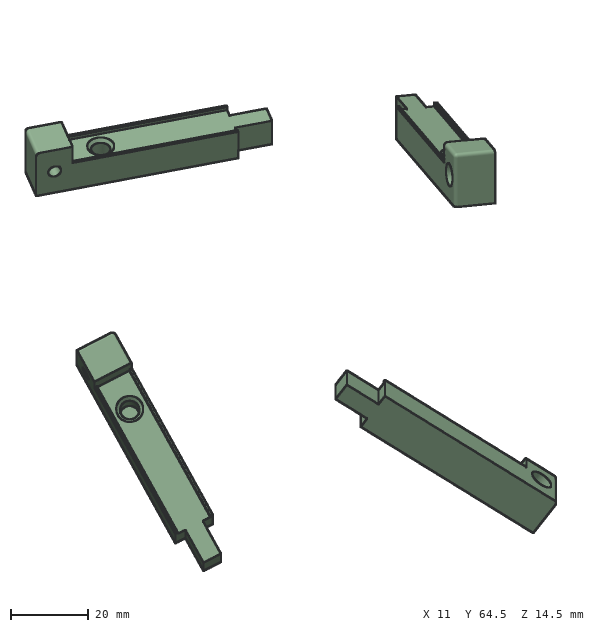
import cadquery as cq

WIDTH = 11.0
LENGTH = 64.5
HEAD_HEIGHT = 14.5

HEAD_LENGTH = 9.85
TONGUE_LENGTH = 10.0
BODY_END = LENGTH - TONGUE_LENGTH

FLOOR_HEIGHT = 8.0
RAIL_HEIGHT = 9.0
RAIL_THICKNESS = 0.75
TONGUE_WIDTH = 5.15

EDGE_RADIUS = 1.0

SCREW_DIAMETER = 3.4
COUNTERBORE_DIAMETER = 6.0
COUNTERBORE_DEPTH = WIDTH / 2
SCREW_Y = 5.0
SCREW_Z = HEAD_HEIGHT / 2

PIN_DIAMETER = 5.0
COUNTERSINK_DIAMETER = 7.0
COUNTERSINK_ANGLE = 90.0
PIN_DEPTH = 6.0
PIN_Y = 19.0


def block(width, y_start, y_end, height):
    """Box centred on X, standing on Z = 0, between two Y stations."""
    return (
        cq.Workplane("XY")
        .box(width, y_end - y_start, height, centered=(True, False, False))
        .translate((0, y_start, 0))
    )


def make_head():
    """Raised end block, rounded along the three edges that meet at its outer top corner."""
    head = block(WIDTH, 0, HEAD_LENGTH, HEAD_HEIGHT)
    outer_edges = head.edges("(<X and <Y) or (<X and >Z) or (<Y and >Z)")
    return outer_edges.fillet(EDGE_RADIUS)


def make_body():
    """Long bar whose top is recessed between two thin side rails."""
    bar = block(WIDTH, HEAD_LENGTH, BODY_END, RAIL_HEIGHT)
    channel_width = WIDTH - 2 * RAIL_THICKNESS
    channel = block(channel_width, HEAD_LENGTH, BODY_END, RAIL_HEIGHT - FLOOR_HEIGHT)
    return bar.cut(channel.translate((0, 0, FLOOR_HEIGHT)))


def make_tongue():
    """Narrow tab at the +Y end, level with the channel floor."""
    return block(TONGUE_WIDTH, BODY_END, LENGTH, FLOOR_HEIGHT)


def cut_screw_hole(part):
    """Counterbored clearance hole across the head, along X."""
    side = cq.Workplane("YZ", origin=(-WIDTH / 2, SCREW_Y, SCREW_Z))
    clearance = side.circle(SCREW_DIAMETER / 2).extrude(WIDTH)
    counterbore = side.circle(COUNTERBORE_DIAMETER / 2).extrude(COUNTERBORE_DEPTH)
    return part.cut(clearance).cut(counterbore)


def cut_pin_hole(part):
    """Flat-bottomed countersunk hole sunk into the channel floor."""
    floor = part.copyWorkplane(cq.Workplane("XY", origin=(0, PIN_Y, FLOOR_HEIGHT)))
    return floor.cskHole(PIN_DIAMETER, COUNTERSINK_DIAMETER, COUNTERSINK_ANGLE, PIN_DEPTH)


bar = make_head().union(make_body()).union(make_tongue())
result = cut_pin_hole(cut_screw_hole(bar))